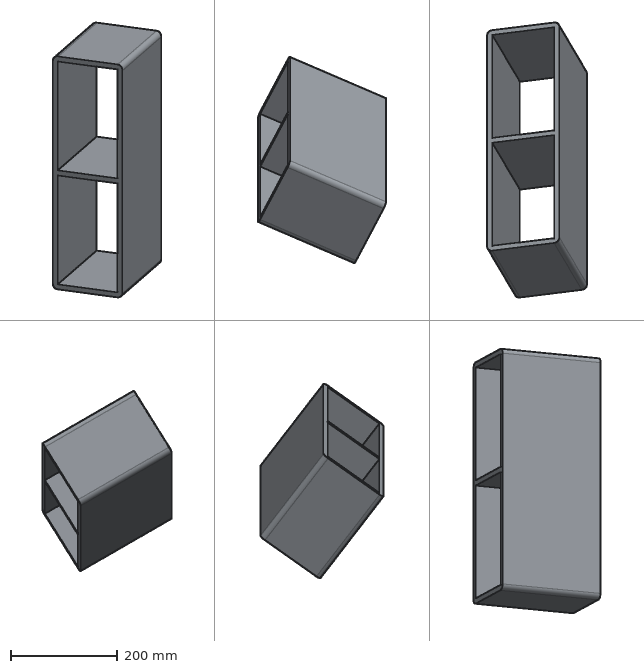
import cadquery as cq

width = 140.5
depth = 200.0
height = 466.0

wall = 10.3
corner_radius = 10.3

opening_width = width - 2 * wall
opening_height = (height - 3 * wall) / 2
opening_spacing = opening_height + wall

block = cq.Workplane("XY").box(width, depth, height).edges("|Y").fillet(corner_radius)

openings = (
    cq.Workplane("XZ")
    .rarray(4.5, opening_spacing, 1, 2)
    .rect(opening_width, opening_height)
    .extrude(depth / 2, both=True)
)

result = block.cut(openings)